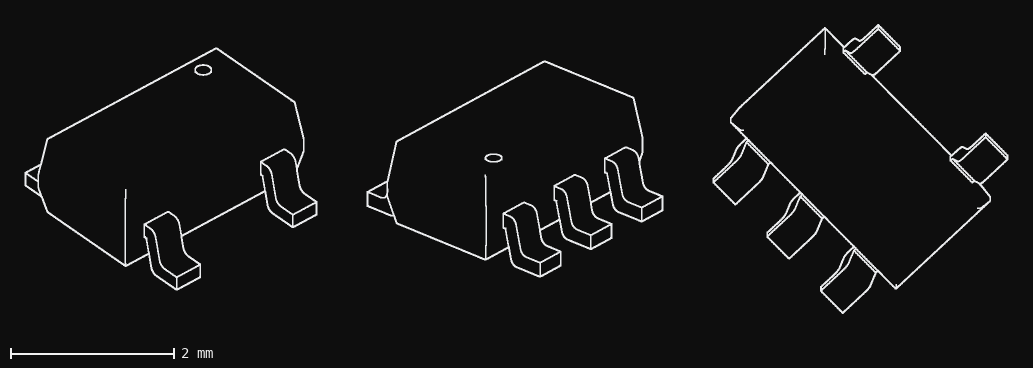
import cadquery as cq
import math

span_x = 2.8
body_length = 2.92
body_width = 1.605
top_z = 1.25

standoff = 0.075
upper_draft = 8.0
lower_draft = 12.0
edge_radius = 0.04

lead_thickness = 0.195
lead_width = 0.388
lead_pitch = 0.95
shoulder_z = 0.67
lead_slope = 13.0
bend_radius = 0.1
shoulder_bend_x = 0.993

mark_diameter = 0.201
mark_depth = 0.201
mark_x = -0.48
mark_y = lead_pitch

band_bottom_z = shoulder_z - lead_thickness


def make_housing():
    """Straight middle band with a drafted block above and below it."""
    band = cq.Workplane("XY").workplane(offset=band_bottom_z).rect(body_width, body_length)
    band = band.extrude(lead_thickness)
    upper = cq.Workplane("XY").workplane(offset=shoulder_z).rect(body_width, body_length)
    upper = upper.extrude(top_z - shoulder_z, taper=upper_draft)
    upper = upper.faces(">Z").edges().fillet(edge_radius)
    lower = cq.Workplane("XY").workplane(offset=band_bottom_z).rect(body_width, body_length)
    lower = lower.extrude(standoff - band_bottom_z, taper=lower_draft)
    lower = lower.faces("<Z").edges().fillet(edge_radius)
    mark = cq.Workplane("XY").workplane(offset=top_z - mark_depth).center(mark_x, mark_y)
    mark = mark.circle(mark_diameter / 2).extrude(mark_depth)
    return band.union(upper).union(lower).cut(mark)


def make_lead(side, y):
    """Gull-wing lead centred at y; side is -1 or 1 along X."""
    run = math.tan(math.radians(lead_slope))
    wall = lead_thickness / math.cos(math.radians(lead_slope))
    tip_x = span_x / 2

    def outer_x(z):
        return shoulder_bend_x + (shoulder_z - z) * run

    def inner_x(z):
        return outer_x(z) - wall

    outline = [
        (body_width / 2, shoulder_z),
        (outer_x(shoulder_z), shoulder_z),
        (outer_x(lead_thickness), lead_thickness),
        (tip_x, lead_thickness),
        (tip_x, 0),
        (inner_x(0), 0),
        (inner_x(band_bottom_z), band_bottom_z),
        (body_width / 2, band_bottom_z),
    ]
    rounded_corners = [outline[1], outline[2], outline[5]]
    lead = cq.Workplane("XZ").polyline(outline).close().extrude(lead_width / 2, both=True)
    for x, z in rounded_corners:
        lead = lead.edges(cq.selectors.NearestToPointSelector((x, 0, z))).fillet(bend_radius)
    if side < 0:
        lead = lead.mirror("YZ")
    return lead.translate((0, y, 0))


housing = make_housing()

lead_places = [(-1, row) for row in (-1, 0, 1)] + [(1, row) for row in (-1, 1)]
leads = [make_lead(side, row * lead_pitch) for side, row in lead_places]

result = cq.Compound.makeCompound([housing.val(), *[lead.val() for lead in leads]])